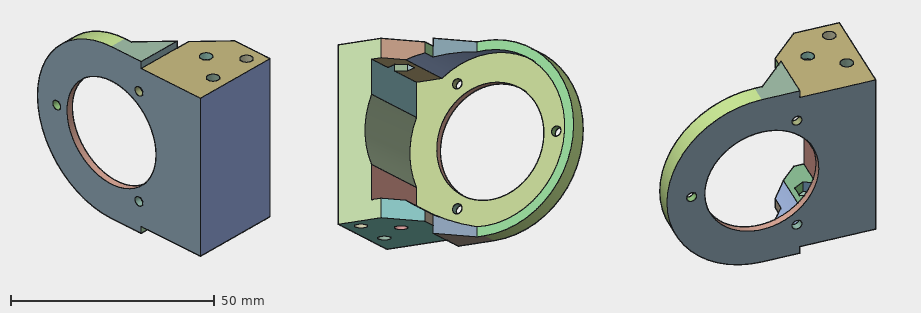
import cadquery as cq
import math


total_length = 55.0
total_depth = 25.0
total_height = 50.0

plate_radius = total_height / 2
plate_thickness = 5.0
bore_diameter = 30.0
screw_circle_radius = 18.5
screw_hole_diameter = 2.6
screw_count = 3

block_start = 10.0
block_end = total_length - plate_radius
block_height = 46.0
block_corner_chamfer = 8.0

gusset_length = 8.0
gusset_start = block_start - gusset_length
gusset_top = plate_thickness + gusset_length

cavity_radius = 22.5
cavity_floor = 2.0
cavity_depth = total_depth - cavity_floor
slot_height = 35.95

mount_hole_diameter = 3.3
hole_spacing_x = 8.0
inner_hole_x = 17.8
outer_hole_x = inner_hole_x + hole_spacing_x
inner_hole_y = 15.0
outer_hole_offset_y = 6.0
nut_flats = 5.6
nut_corners = nut_flats / math.cos(math.radians(30))
nut_pocket_depth = 2.95

slot_end = inner_hole_x + nut_flats / 2


def cylinder_along_y(diameter, start, length, x=0.0, z=0.0):
    """Cylinder running from Y = start toward +Y."""
    axis_start = cq.Vector(x, start, z)
    cylinder = cq.Solid.makeCylinder(diameter / 2, length, axis_start, cq.Vector(0, 1, 0))
    return cq.Workplane(obj=cylinder)


def box_between(x_start, x_end, y_start, y_end, height):
    """Box centred on Z = 0."""
    box = cq.Workplane("XY").box(x_end - x_start, y_end - y_start, height, centered=(False, False, True))
    return box.translate((x_start, y_start, 0))


def plate():
    disc = cylinder_along_y(total_height, 0, plate_thickness)
    straight_part = box_between(0, block_start, 0, plate_thickness, total_height)
    return disc.union(straight_part)


def gusset():
    profile = [
        (gusset_start, plate_thickness),
        (block_start, gusset_top),
        (block_start, 0),
        (gusset_start, 0),
    ]
    return cq.Workplane("XY").polyline(profile).close().extrude(plate_radius, both=True)


def block():
    body = box_between(block_start, block_end, 0, total_depth, block_height)
    return body.edges("|Z and <X and >Y").chamfer(block_corner_chamfer)


def motor_cavity():
    round_part = cylinder_along_y(2 * cavity_radius, cavity_floor, cavity_depth)
    slot = box_between(0, slot_end, cavity_floor, total_depth, slot_height)
    return round_part.union(slot)


def screw_holes():
    holes = cq.Workplane("XY")
    for index in range(screw_count):
        angle = math.radians(180 + index * 360 / screw_count)
        x = screw_circle_radius * math.cos(angle)
        z = screw_circle_radius * math.sin(angle)
        holes = holes.add(cylinder_along_y(screw_hole_diameter, 0, plate_thickness, x, z))
    return holes.combine()


def mounting_holes():
    positions = [
        (inner_hole_x, inner_hole_y),
        (outer_hole_x, inner_hole_y - outer_hole_offset_y),
        (outer_hole_x, inner_hole_y + outer_hole_offset_y),
    ]
    circles = cq.Workplane("XY").pushPoints(positions).circle(mount_hole_diameter / 2)
    return circles.extrude(plate_radius, both=True)


def nut_pockets():
    prism = cq.Workplane("XY").polygon(6, nut_corners)
    prism = prism.extrude(slot_height / 2 + nut_pocket_depth, both=True)
    prism = prism.rotate((0, 0, 0), (0, 0, 1), 30)
    return prism.translate((inner_hole_x, inner_hole_y, 0))


bore = cylinder_along_y(bore_diameter, 0, plate_thickness)

result = plate().union(gusset()).union(block())
result = result.cut(motor_cavity()).cut(bore).cut(screw_holes())
result = result.cut(mounting_holes()).cut(nut_pockets())